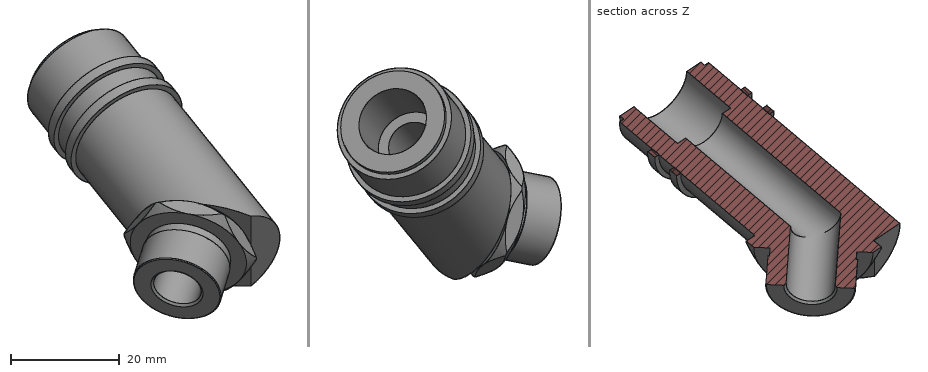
import cadquery as cq
import math

OVERALL_LENGTH = 60.4

HOUSING_DIAMETER = 22.0
HOUSING_LENGTH = 54.0
LIP_DIAMETER = 20.0
LIP_LENGTH = 1.0

BORE_DIAMETER = 9.0
INLET_DIAMETER = 13.0
INLET_DEPTH = 12.1

RING_DIAMETER = 24.0
RING_WIDTH = 2.0
FIRST_RING_START = 9.95
RING_PITCH = 6.05
RING_COUNT = 2

OUTLET_ANGLE = 45.0
HEX_OFFSET = 4.5
HEX_THICKNESS = 3.0
HEX_ACROSS_FLATS = HOUSING_DIAMETER
SPIGOT_DIAMETER = 16.6
SPIGOT_LENGTH = 9.0
SPIGOT_CHAMFER = 0.2
NECK_DIAMETER = 16.1
NECK_LENGTH = 1.8
BORE_CHAMFER = 0.4

hex_front = HEX_OFFSET + HEX_THICKNESS
outlet_end = hex_front + SPIGOT_LENGTH

angle = math.radians(OUTLET_ANGLE)
rim_reach = (outlet_end - SPIGOT_CHAMFER) * math.cos(angle) + SPIGOT_DIAMETER / 2 * math.sin(angle)
elbow_x = OVERALL_LENGTH - rim_reach
outlet_direction = cq.Vector(math.cos(angle), -math.sin(angle), 0)
elbow = cq.Vector(elbow_x, 0, 0)


def cylinder_along_x(start, length, diameter):
    return cq.Workplane("YZ", origin=(start, 0, 0)).circle(diameter / 2).extrude(length)


def outlet_plane(distance):
    """Workplane across the outlet axis; its local X runs in the XY plane."""
    in_plane = cq.Vector(0, 0, 1).cross(outlet_direction)
    return cq.Workplane(cq.Plane(elbow + outlet_direction * distance, in_plane, outlet_direction))


def outlet_cylinder(start, length, diameter):
    return outlet_plane(start).circle(diameter / 2).extrude(length)


def outlet_cone(start, length, start_radius, end_radius):
    base = outlet_plane(start).circle(start_radius)
    return base.workplane(offset=length).circle(end_radius).loft()


def make_tube():
    """Stepped tube whose far end is cut off flush with the back of the hexagon."""
    lip = cylinder_along_x(0, LIP_LENGTH, LIP_DIAMETER)
    tube = cylinder_along_x(LIP_LENGTH, HOUSING_LENGTH - LIP_LENGTH, HOUSING_DIAMETER)
    beyond_hex = outlet_cylinder(HEX_OFFSET, OVERALL_LENGTH, 2 * OVERALL_LENGTH)
    return lip.union(tube.cut(beyond_hex))


def make_hexagon():
    """Hexagon with flats facing +Z and -Z, its corners turned to a 45 degree point on both sides."""
    corner_diameter = HEX_ACROSS_FLATS / math.cos(math.pi / 6)
    hexagon = outlet_plane(HEX_OFFSET).polygon(6, corner_diameter).extrude(HEX_THICKNESS)
    face_radius = HEX_ACROSS_FLATS / 2
    half_thickness = HEX_THICKNESS / 2
    middle_radius = face_radius + half_thickness
    back_cone = outlet_cone(HEX_OFFSET, half_thickness, face_radius, middle_radius)
    front_cone = outlet_cone(HEX_OFFSET + half_thickness, half_thickness, middle_radius, face_radius)
    return hexagon.intersect(back_cone.union(front_cone))


def make_spigot():
    neck = outlet_cylinder(hex_front, NECK_LENGTH, NECK_DIAMETER)
    head_start = hex_front + NECK_LENGTH
    head = outlet_cylinder(head_start, outlet_end - head_start, SPIGOT_DIAMETER)
    head = head.faces(cq.selectors.DirectionMinMaxSelector(outlet_direction)).chamfer(SPIGOT_CHAMFER)
    return neck.union(head)


def make_bore():
    """Mitred bore through both arms, with a wider inlet and a countersunk outlet."""
    outlet_centre = elbow + outlet_direction * outlet_end
    path = cq.Workplane("XY").polyline([(0, 0), (elbow_x, 0), (outlet_centre.x, outlet_centre.y)])
    bore = cq.Workplane("YZ").circle(BORE_DIAMETER / 2).sweep(path, transition="right")
    inlet = cylinder_along_x(0, INLET_DEPTH, INLET_DIAMETER)
    bore_radius = BORE_DIAMETER / 2
    rim_radius = bore_radius + BORE_CHAMFER
    countersink = outlet_cone(outlet_end - BORE_CHAMFER, BORE_CHAMFER, bore_radius, rim_radius)
    return bore.union(inlet).union(countersink)


def make_housing():
    return make_tube().union(make_hexagon()).union(make_spigot()).cut(make_bore())


def make_ring(start):
    outer = cylinder_along_x(start, RING_WIDTH, RING_DIAMETER)
    return outer.cut(cylinder_along_x(start, RING_WIDTH, HOUSING_DIAMETER))


housing = make_housing()
rings = [make_ring(FIRST_RING_START + index * RING_PITCH) for index in range(RING_COUNT)]

result = cq.Compound.makeCompound([housing.val(), *[ring.val() for ring in rings]])